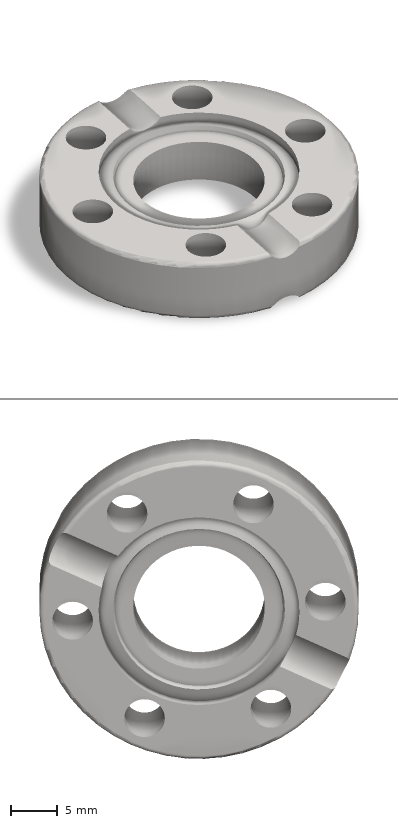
import cadquery as cq

flange_diameter = 34.0
thickness = 7.3
edge_radius = 0.5
bore_diameter = 14.0

recess_diameter = 21.4
recess_depth = 1.2
knife_diameter = 18.3
knife_depth = 0.6
floor_diameter = 17.9
floor_depth = 1.2

bolt_count = 6
bolt_hole_diameter = 4.32
bolt_circle_diameter = 27.0

groove_width = 3.98
groove_depth = 1.05

half_thickness = thickness / 2


def sealing_recess():
    """Ring-shaped recess in the top face, leaving a conical knife edge."""
    floor_z = half_thickness - floor_depth
    profile = (
        cq.Workplane("XZ")
        .moveTo(0, half_thickness)
        .lineTo(recess_diameter / 2, half_thickness)
        .lineTo(recess_diameter / 2, half_thickness - recess_depth)
        .lineTo(knife_diameter / 2, half_thickness - knife_depth)
        .lineTo(floor_diameter / 2, floor_z)
        .lineTo(0, floor_z)
        .close()
    )
    return profile.revolve(360, (0, 0, 0), (0, 1, 0))


def leak_grooves():
    """Circular-arc grooves across the top face, kept outside the recess."""
    radius = ((groove_width / 2) ** 2 + groove_depth ** 2) / (2 * groove_depth)
    axis_z = half_thickness - groove_depth + radius
    cutter = (
        cq.Workplane("YZ")
        .center(0, axis_z)
        .circle(radius)
        .extrude(flange_diameter, both=True)
    )
    recess_core = cq.Workplane("XY").circle(recess_diameter / 2).extrude(thickness)
    return cutter.cut(recess_core)


body = (
    cq.Workplane("XY")
    .cylinder(thickness, flange_diameter / 2)
    .faces("<Z or >Z")
    .edges()
    .fillet(edge_radius)
)

body = body.faces(">Z").workplane().hole(bore_diameter)
body = (
    body.faces(">Z")
    .workplane(origin=(0, 0, 0))
    .polarArray(bolt_circle_diameter / 2, 90, 360, bolt_count)
    .hole(bolt_hole_diameter)
)

for face_cut in (sealing_recess(), leak_grooves()):
    body = body.cut(face_cut).cut(face_cut.mirror("XY"))

result = body